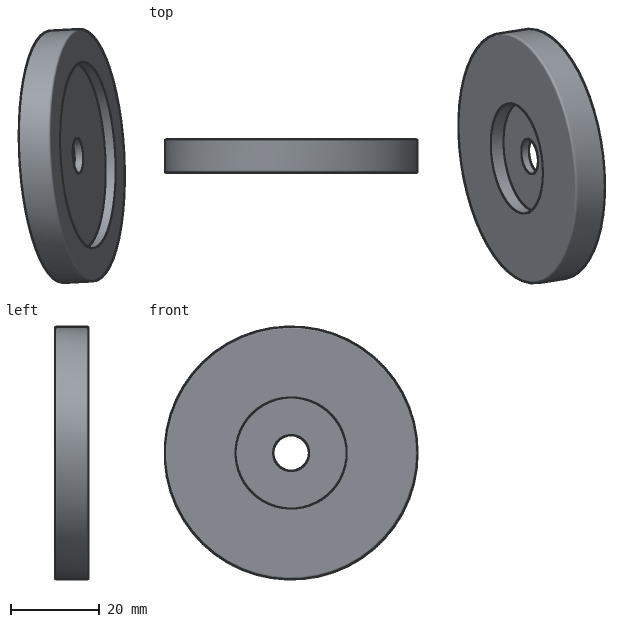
import cadquery as cq

outer_diameter = 57.0
width = 7.6
edge_radius = 0.5
front_opening_diameter = 25.0
front_opening_depth = 3.25
bore_diameter = 8.0
disc_diameter = 42.0
disc_thickness = 2.0

front_y = -width / 2
disc_front_y = front_y + front_opening_depth


def cylinder(diameter, start_y, length):
    """Solid cylinder along +Y, centred on the wheel axis."""
    plane = cq.Workplane("XZ", origin=(0, start_y, 0))
    return plane.circle(diameter / 2).extrude(-length)


def make_rim():
    """Rounded ring with a front opening and a wider seat open at the back."""
    rim = cylinder(outer_diameter, front_y, width).edges().fillet(edge_radius)
    opening = cylinder(front_opening_diameter, front_y, front_opening_depth)
    seat = cylinder(disc_diameter, disc_front_y, width - front_opening_depth)
    return rim.cut(opening).cut(seat)


def make_disc():
    """Bored disc resting against the shoulder of the rim's seat."""
    disc = cylinder(disc_diameter, disc_front_y, disc_thickness)
    bore = cylinder(bore_diameter, disc_front_y, disc_thickness)
    return disc.cut(bore)


rim = make_rim()
disc = make_disc()
result = cq.Compound.makeCompound([rim.val(), disc.val()])